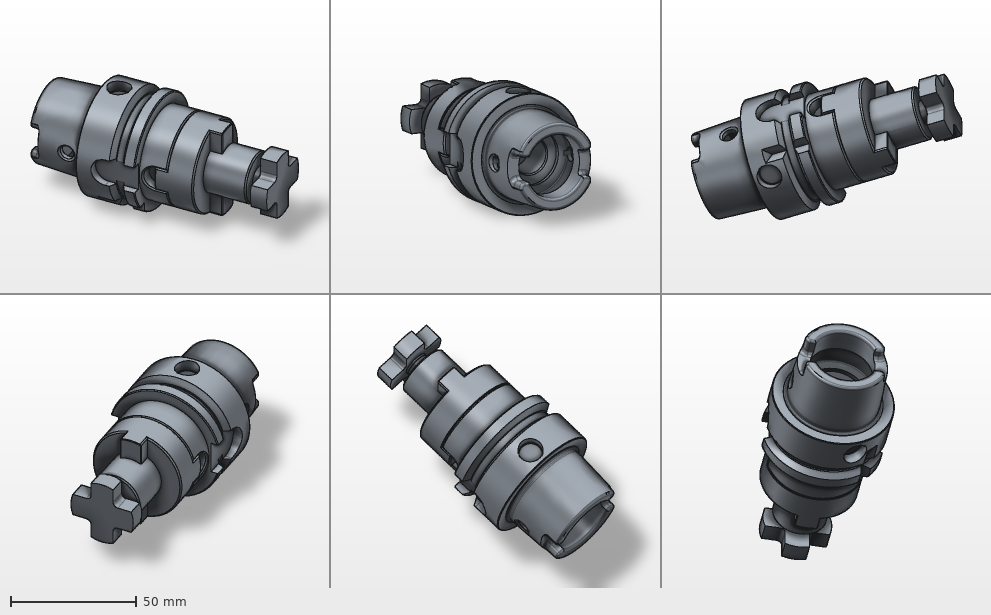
import cadquery as cq
import math

TAPER_END = 23.1
RELIEF_START = 23.7
FLANGE_START = 25.0
GROOVE_START = 39.6
GROOVE_END = 46.2
FLANGE_END = 50.9
DRIVER_START = 63.2
DRIVER_END = 75.0
KEY_END = 80.4
PILOT_END = 94.0
HEAD_START = 97.6
OVERALL_LENGTH = 105.0

TAPER_RADIUS = 38.0 / 2
TAPER_SLOPE = 1 / 20
TAPER_MOUTH_RADIUS = TAPER_RADIUS - TAPER_SLOPE * TAPER_END
RELIEF_RADIUS = TAPER_RADIUS - 0.1
RELIEF_FILLET = 0.7
MOUTH_FILLET = 1.0
FACE_RECESS_RADIUS = 20.4
FACE_RECESS_DEPTH = 0.2

DRIVE_SLOT_WIDTH = 10.5
DRIVE_SLOT_DEPTH_FRONT = 4.5
DRIVE_SLOT_DEPTH_REAR = 7.4
DRIVE_SLOT_FLARE = 2.0
FLARE_RUNOUT_ANGLE = 10
DRIVE_SLOT_FLOOR_FILLET = 1.8

BORE_RADIUS = 26.0 / 2
BORE_DEPTH = 9.9
UNDERCUT_RADIUS = 32.0 / 2
UNDERCUT_ANGLE = 60
CAVITY_DEPTH = 20.3
CAVITY_FILLET = 0.5
COUNTERBORE_RADIUS = 11.9
COUNTERBORE_DEPTH = 22.0
THREAD_RADIUS = 14.9 / 2
THREAD_CHAMFER = 0.5
THREAD_DEPTH = 36.8
COOLANT_RADIUS = 6.8 / 2
COOLANT_DEPTH = 42.0
COOLANT_TIP_RADIUS = 5.0 / 2
COOLANT_TIP_DEPTH = 44.1

CROSS_HOLE_X = 17.4
CROSS_HOLE_DIAMETER = 6.0
CROSS_SINK_RADIUS = 4.0
CROSS_SINK_RISE = 2.1
CROSS_HOLE_DEPTH = 4.2

FLANGE_RADIUS = 50.0 / 2
FLANGE_FRONT_CHAMFER = 0.3
FLANGE_REAR_CHAMFER = 0.4
GROOVE_RADIUS = 21.4
GROOVE_WALL_RUN = 1.7
GROOVE_STEP = 0.7
SLOT_FLOOR = 20.9
SLOT_START = 31.8
FRONT_SLOT_WIDTH = 12.0
REAR_SLOT_WIDTH = 14.0
NOTCH_CORNER_Y = 15.4
NOTCH_CORNER_Z = 15.6
NOTCH_START = 35.1
POCKET_X = 31.8
POCKET_DIAMETER = 10.0
POCKET_DEPTH = 4.9
POCKET_CHAMFER = 0.3
POCKET_ANGLE = 25

BODY_RADIUS = 40.0 / 2
BODY_CHAMFER = 0.7
DRIVER_CHAMFER = 0.6
DRIVER_EDGE = 0.26
LEG_WIDTH = 9.5
LEG_START = 57.5
LEG_SLOT_START = 52.6
LEG_SLOT_WIDTH = 10.2
LEG_SLOT_FLOOR = 14.7
KEY_WIDTH = 9.5
KEY_EDGE = 0.3

PILOT_RADIUS = 22.0 / 2
PILOT_CHAMFER = 0.6
NECK_RADIUS = 10.0 / 2
COLLAR_RADIUS = 10.5 / 2
COLLAR_START = 96.8
HEAD_RADIUS = 14.1
HEAD_ARM_WIDTH = 10.0
HEAD_FILLET = 2.1

OVERLAP = 1.0


def turned(points):
    """Solid of revolution about X from (x, radius) points that start and end on the axis."""
    return cq.Workplane("XY").polyline(points).close().revolve(360, (0, 0, 0), (1, 0, 0))


def rod(start, end, radius):
    """Cylinder along X."""
    return cq.Workplane("YZ", origin=(start, 0, 0)).circle(radius).extrude(end - start)


def block(x_range, y_range, z_range):
    """Box between the given limits on each axis."""
    size = [high - low for low, high in (x_range, y_range, z_range)]
    corner = (x_range[0], y_range[0], z_range[0])
    return cq.Workplane("XY").box(*size, centered=False).translate(corner)


def half_turn(shape):
    """Copy on the opposite side of the X axis."""
    return shape.rotate((0, 0, 0), (1, 0, 0), 180)


def drive_slot(depth):
    """Cutter for a mouth slot on the -Y side: flared sides and a rounded floor."""
    half = DRIVE_SLOT_WIDTH / 2
    center_z = half + DRIVE_SLOT_FLARE
    center_y = -math.sqrt((TAPER_MOUTH_RADIUS - DRIVE_SLOT_FLARE) ** 2 - center_z**2)
    end_angle = math.atan2(center_z, center_y) + math.radians(FLARE_RUNOUT_ANGLE)
    mid_angle = (end_angle + 1.5 * math.pi) / 2

    def flare_point(angle):
        return (
            center_y + DRIVE_SLOT_FLARE * math.cos(angle),
            center_z + DRIVE_SLOT_FLARE * math.sin(angle),
        )

    end_y, end_z = flare_point(end_angle)
    outer = FLANGE_RADIUS
    runout = outer + end_y
    half_profile = (
        cq.Workplane("YZ", origin=(-OVERLAP, 0, 0))
        .lineTo(0, half)
        .lineTo(center_y, half)
        .threePointArc(flare_point(mid_angle), (end_y, end_z))
        .lineTo(-outer, end_z - runout / math.tan(end_angle))
        .lineTo(-outer, 0)
        .close()
        .extrude(depth + OVERLAP)
    )
    profile = half_profile.union(half_profile.mirror("XY"))
    sides = cq.selectors.BoxSelector((depth - 0.1, -outer + 0.1, -outer), (depth + 0.1, -0.1, outer))
    return profile.edges(sides).fillet(DRIVE_SLOT_FLOOR_FILLET)


def make_taper():
    """Hollow taper with two drive slots and a rounded mouth."""
    shell = turned(
        [
            (0, 0),
            (0, TAPER_MOUTH_RADIUS),
            (TAPER_END, TAPER_RADIUS),
            (RELIEF_START, RELIEF_RADIUS),
            (FLANGE_START + OVERLAP, RELIEF_RADIUS),
            (FLANGE_START + OVERLAP, 0),
        ]
    ).cut(rod(0, BORE_DEPTH, BORE_RADIUS))
    shell = shell.cut(drive_slot(DRIVE_SLOT_DEPTH_FRONT))
    shell = shell.cut(half_turn(drive_slot(DRIVE_SLOT_DEPTH_REAR)))
    return shell.faces("<X").edges().fillet(MOUTH_FILLET)


def make_cavity():
    """Undercut, counterbore, thread bore and coolant hole behind the mouth bore."""
    cone_end = BORE_DEPTH + (UNDERCUT_RADIUS - BORE_RADIUS) / math.tan(math.radians(UNDERCUT_ANGLE))
    undercut = turned(
        [
            (BORE_DEPTH, 0),
            (BORE_DEPTH, BORE_RADIUS),
            (cone_end, UNDERCUT_RADIUS),
            (CAVITY_DEPTH, UNDERCUT_RADIUS),
            (CAVITY_DEPTH, 0),
        ]
    )
    undercut = undercut.faces(">X").edges().fillet(CAVITY_FILLET)
    stepped_hole = turned(
        [
            (CAVITY_DEPTH - OVERLAP, 0),
            (CAVITY_DEPTH - OVERLAP, COUNTERBORE_RADIUS),
            (COUNTERBORE_DEPTH, COUNTERBORE_RADIUS),
            (COUNTERBORE_DEPTH, THREAD_RADIUS + THREAD_CHAMFER),
            (COUNTERBORE_DEPTH + THREAD_CHAMFER, THREAD_RADIUS),
            (THREAD_DEPTH, THREAD_RADIUS),
            (THREAD_DEPTH, COOLANT_RADIUS),
            (COOLANT_DEPTH, COOLANT_RADIUS),
            (COOLANT_DEPTH, COOLANT_TIP_RADIUS),
            (COOLANT_TIP_DEPTH, COOLANT_TIP_RADIUS),
            (COOLANT_TIP_DEPTH, 0),
        ]
    )
    return undercut.union(stepped_hole)


def cross_hole():
    """Countersunk hole through the taper wall on the -Y side."""
    surface = TAPER_MOUTH_RADIUS + TAPER_SLOPE * CROSS_HOLE_X
    wide = CROSS_SINK_RADIUS + CROSS_SINK_RISE
    plane = cq.Plane(origin=(CROSS_HOLE_X, -surface, 0), xDir=(1, 0, 0), normal=(0, 1, 0))
    hole = cq.Workplane(plane).circle(CROSS_HOLE_DIAMETER / 2).extrude(CROSS_HOLE_DEPTH)
    sink_base = (CROSS_HOLE_X, -surface - CROSS_SINK_RISE, 0)
    sink = cq.Solid.makeCone(wide, 0, wide, pnt=sink_base, dir=(0, 1, 0))
    return hole.union(cq.Workplane(sink))


def make_flange():
    """Gripper flange with a V groove, front face recess and fillet into the taper relief."""
    front = FLANGE_START
    floor = front + FACE_RECESS_DEPTH
    fillet_mid = RELIEF_FILLET * (1 - math.sqrt(0.5))
    return (
        cq.Workplane("XY")
        .moveTo(floor - RELIEF_FILLET, 0)
        .lineTo(floor - RELIEF_FILLET, RELIEF_RADIUS)
        .threePointArc(
            (floor - fillet_mid, RELIEF_RADIUS + fillet_mid),
            (floor, RELIEF_RADIUS + RELIEF_FILLET),
        )
        .lineTo(floor, FACE_RECESS_RADIUS)
        .lineTo(front, FACE_RECESS_RADIUS)
        .lineTo(front, FLANGE_RADIUS - FLANGE_FRONT_CHAMFER)
        .lineTo(front + FLANGE_FRONT_CHAMFER, FLANGE_RADIUS)
        .lineTo(GROOVE_START, FLANGE_RADIUS)
        .lineTo(GROOVE_START + GROOVE_WALL_RUN, GROOVE_RADIUS + GROOVE_STEP)
        .lineTo(GROOVE_START + GROOVE_WALL_RUN, GROOVE_RADIUS)
        .lineTo(GROOVE_END - GROOVE_WALL_RUN, GROOVE_RADIUS)
        .lineTo(GROOVE_END - GROOVE_WALL_RUN, GROOVE_RADIUS + GROOVE_STEP)
        .lineTo(GROOVE_END, FLANGE_RADIUS)
        .lineTo(FLANGE_END - FLANGE_REAR_CHAMFER, FLANGE_RADIUS)
        .lineTo(FLANGE_END, FLANGE_RADIUS - FLANGE_REAR_CHAMFER)
        .lineTo(FLANGE_END, 0)
        .close()
        .revolve(360, (0, 0, 0), (1, 0, 0))
    )


def side_slot(start, end, width, floor):
    """Cutter on the -Y side: flat floor, open at its far end and round at its start."""
    radius = width / 2
    return (
        cq.Workplane("XZ", origin=(0, -floor, 0))
        .moveTo(end, radius)
        .lineTo(start + radius, radius)
        .threePointArc((start, 0), (start + radius, -radius))
        .lineTo(end, -radius)
        .close()
        .extrude(FLANGE_RADIUS)
    )


def flange_notch():
    """Square notch along the lower -Y edge of the flange with a sloping start."""
    reach = FLANGE_RADIUS
    notch = block(
        (NOTCH_START - reach, FLANGE_END),
        (-reach, -NOTCH_CORNER_Y),
        (-reach, -NOTCH_CORNER_Z),
    )
    corner = (NOTCH_START, -NOTCH_CORNER_Y, -NOTCH_CORNER_Z)
    slope = cq.Plane(
        origin=corner,
        xDir=(0, 1, -1),
        normal=(-1, math.sqrt(0.5), math.sqrt(0.5)),
    )
    return notch.cut(cq.Workplane(slope).rect(4 * reach, 4 * reach).extrude(4 * reach))


def flange_pocket():
    """Flat-bottomed round pocket sunk into the top of the flange."""
    return (
        cq.Workplane("XY", origin=(POCKET_X, 0, FLANGE_RADIUS - POCKET_DEPTH))
        .circle(POCKET_DIAMETER / 2)
        .extrude(2 * POCKET_DEPTH)
        .faces("<Z")
        .chamfer(POCKET_CHAMFER)
    )


def make_body():
    """Arbor body with its two chamfered leg slots."""
    body = rod(FLANGE_END - OVERLAP, DRIVER_START, BODY_RADIUS)
    slot = side_slot(LEG_SLOT_START, DRIVER_START + OVERLAP, LEG_SLOT_WIDTH, LEG_SLOT_FLOOR)
    body = body.cut(slot).cut(half_turn(slot))
    slot_rim = cq.selectors.BoxSelector(
        (LEG_SLOT_START, -FLANGE_RADIUS, -FLANGE_RADIUS),
        (DRIVER_START + OVERLAP, FLANGE_RADIUS, FLANGE_RADIUS),
    )
    outer_face = body.faces("%CYLINDER").faces(cq.selectors.AreaNthSelector(-1))
    return outer_face.edges(slot_rim).chamfer(BODY_CHAMFER)


def make_driver():
    """Driver ring with two keys along Z and two legs along Y."""
    ring = rod(DRIVER_START, DRIVER_END, BODY_RADIUS)
    ring = ring.faces("<X").chamfer(DRIVER_EDGE).faces(">X").chamfer(DRIVER_CHAMFER)
    half_key = KEY_WIDTH / 2
    half_leg = LEG_WIDTH / 2
    reach = BODY_RADIUS + OVERLAP
    keys = block((DRIVER_END - DRIVER_CHAMFER, KEY_END), (-half_key, half_key), (-reach, reach))
    legs = block((LEG_START, DRIVER_END - OVERLAP), (-reach, reach), (-half_leg, half_leg))
    envelope = rod(LEG_START, KEY_END, BODY_RADIUS)
    keys = keys.intersect(envelope).faces("|Y").edges("|X").chamfer(DRIVER_CHAMFER, KEY_EDGE)
    keys = keys.faces(">X").edges().chamfer(KEY_EDGE)
    legs = legs.intersect(envelope).faces("%CYLINDER").edges("<X").chamfer(DRIVER_CHAMFER)
    return ring.union(keys).union(legs)


def make_pilot():
    """Pilot spigot with a chamfered end."""
    return rod(DRIVER_END - OVERLAP, PILOT_END, PILOT_RADIUS).faces(">X").chamfer(PILOT_CHAMFER)


def make_screw():
    """Retaining screw: neck, collar and a head with four arms."""
    head = rod(HEAD_START, OVERALL_LENGTH, HEAD_RADIUS)
    reach = 2 * HEAD_RADIUS
    half_arm = HEAD_ARM_WIDTH / 2
    length_range = (HEAD_START, OVERALL_LENGTH)
    arms_along_y = block(length_range, (-reach, reach), (-half_arm, half_arm))
    arms_along_z = block(length_range, (-half_arm, half_arm), (-reach, reach))
    inner_corners = cq.selectors.BoxSelector(
        (HEAD_START, -HEAD_ARM_WIDTH, -HEAD_ARM_WIDTH),
        (OVERALL_LENGTH, HEAD_ARM_WIDTH, HEAD_ARM_WIDTH),
    )
    cross = arms_along_y.union(arms_along_z).edges("|X").edges(inner_corners).fillet(HEAD_FILLET)
    neck = rod(PILOT_END - OVERLAP, HEAD_START, NECK_RADIUS)
    collar = rod(COLLAR_START, HEAD_START, COLLAR_RADIUS)
    return head.intersect(cross).union(neck).union(collar)


flange = make_flange()
flange = flange.cut(side_slot(SLOT_START, FLANGE_END, FRONT_SLOT_WIDTH, SLOT_FLOOR))
flange = flange.cut(half_turn(side_slot(SLOT_START, FLANGE_END, REAR_SLOT_WIDTH, SLOT_FLOOR)))
flange = flange.cut(flange_notch())
flange = flange.cut(flange_pocket())
flange = flange.cut(flange_pocket().rotate((0, 0, 0), (1, 0, 0), 180 - POCKET_ANGLE))

result = make_taper().union(flange).cut(make_cavity())
result = result.cut(cross_hole()).cut(half_turn(cross_hole()))
for section in (make_body(), make_driver(), make_pilot(), make_screw()):
    result = result.union(section)